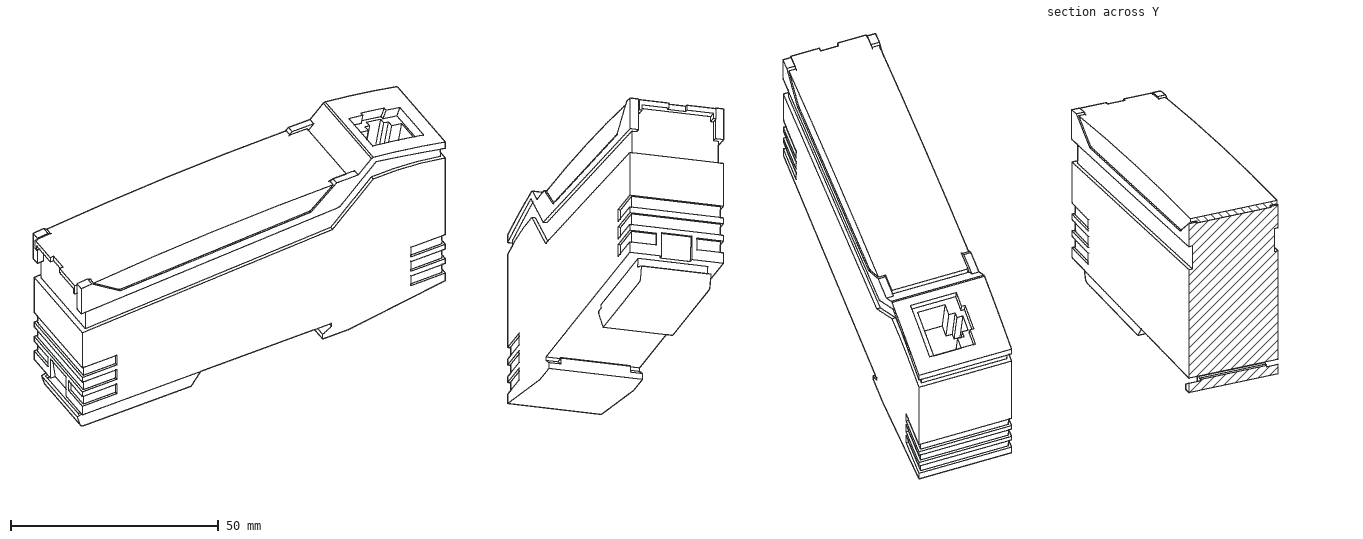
import cadquery as cq
import math


width = 23.6
half_width = width / 2
back_y = 100.4
top_z = 47.8
cover_tip_y = -0.9
foot_bottom_z = -6.6

crest_y = 80.5
case_back_z = 39.2
case_arc_y = 90.7
case_arc_z = 40.7
case_crest_z = 41.0
case_ramp_drop = 11.3
case_front_z = 26.0

taper_start_z = 0.3
hook_flat_y = 73.8
hook_bottom_z = -4.0
hook_tip_y = 66.5
hook_root_y = 68.9
hook_root_z = -0.9
hook_slope_z = -2.4
tooth_top_z = -0.6
tooth_back_y = 67.4
tooth_chamfer = 0.3

neck_side_inset = 0.9
neck_front_y = 1.3
neck_back_y = 99.5
neck_floor_z = 20.3
neck_overlap = 1.0

hood_front_y = -0.3
hood_lower_back_z = 42.3
hood_lower_arc_z = 44.3
hood_lower_crest_y = 81.3
hood_lower_crest_z = 46.1
hood_ramp_drop = 10.1
hood_lower_front_z = 32.1
deck_back_z = 44.3
deck_arc_z = 46.3
crest_chamfer_y = 0.5
crest_chamfer_z = 0.2
tab_top_z = 44.0
tab_front_y = 70.3
tab_width = 1.8
post_width = 2.1
post_back_y = 2.6
post_top_z = 40.4
post_front_z = 40.1

seat_rear_y = 63.2
seat_rear_z = 37.7
seat_front_y = 10.4
seat_front_z = 35.0
cover_gap = 0.15
cover_side_inset = 0.3
cover_rear_y = 74.3
cover_rear_z = 43.5
cover_arc_y = 36.7
cover_arc_z = 42.7
cover_tip_z = 39.7
lip_thickness = 1.3
lip_leg_width = 0.7
lip_leg_height = 2.6
lip_notch_width = 4.6
lip_notch_depth = 0.9

groove_depth = 0.6
groove_length = 9.5
groove_height = 3.0
groove_pitch = 4.6
groove_bottom_z = 2.7
groove_count = 3
groove_land_width = 10.1

foot_width = 17.5
foot_neck_back_y = 33.5
foot_hook_y = 35.8
foot_hook_z = -0.9
foot_hook_nose = 0.3
foot_rear_y = 31.8
foot_lip_y = 0.3
foot_lip_z = -3.0
foot_lip_root_z = -2.0
foot_neck_y = 3.5
foot_neck_top_y = 3.0
foot_toe_y = 1.3
foot_edge_radius = 1.0
tray_rim = 0.7
tray_depth = 0.9
latch_slot_width = 7.6
latch_slot_top_z = 6.1
latch_slot_top_y = 0.5
latch_slot_low_y = 1.3

jack_y = 89.6
socket_offset = 0.2
pocket_left_x = -3.9
pocket_right_x = 7.8
pocket_length = 14.3
pocket_depth = 2.2
pocket_lean = 0.4
relief_width = 0.9
relief_length = 6.5
socket_depth = 12.2
socket_right_x = 6.3
deck_clearance = 1.0
socket_steps = [(-0.7, 12.2), (-2.3, 6.6), (-3.9, 4.0)]


def across(profile, span):
    """Extrude a closed YZ profile to a width centred on the middle plane."""
    return profile.extrude(span / 2, both=True)


def block(x0, x1, y0, y1, z0, z1):
    """Axis-aligned block given by its limits."""
    return cq.Workplane("XY").box(x1 - x0, y1 - y0, z1 - z0, centered=False).translate((x0, y0, z0))


def both_sides(shape):
    """The shape together with its mirror image across the middle plane."""
    return shape.union(shape.mirror("YZ"))


def ramp_z(y):
    """Height of the hood's 45 degree ramp."""
    return top_z - crest_chamfer_z - (crest_y - crest_chamfer_y - y)


post_inner_x = half_width - post_width
rear_shelf_z = ramp_z(cover_rear_y)
front_shelf_z = cover_tip_z - lip_thickness


def lower_case():
    profile = (
        cq.Workplane("YZ")
        .moveTo(0, 0)
        .lineTo(0, case_front_z)
        .lineTo(crest_y - case_ramp_drop, case_crest_z - case_ramp_drop)
        .lineTo(crest_y, case_crest_z)
        .threePointArc((case_arc_y, case_arc_z), (back_y, case_back_z))
        .lineTo(back_y, taper_start_z)
        .lineTo(hook_flat_y, hook_bottom_z)
        .lineTo(hook_tip_y, hook_bottom_z)
        .lineTo(hook_tip_y, hook_slope_z)
        .lineTo(hook_root_y, hook_root_z)
        .lineTo(hook_root_y, 0)
        .close()
    )
    return across(profile, width)


def hook_tooth():
    """Raised tooth in the middle of the rail hook."""
    profile = (
        cq.Workplane("YZ")
        .moveTo(hook_tip_y, hook_bottom_z)
        .lineTo(hook_tip_y, tooth_top_z - tooth_chamfer)
        .lineTo(hook_tip_y + tooth_chamfer, tooth_top_z)
        .lineTo(tooth_back_y, tooth_top_z)
        .lineTo(tooth_back_y + tooth_chamfer, hook_root_z)
        .lineTo(hook_root_y, hook_root_z)
        .lineTo(hook_root_y, hook_bottom_z)
        .close()
    )
    return across(profile, foot_width)


def neck():
    """Recessed band that joins the case to the hood."""
    top_crest_z = hood_lower_crest_z + neck_overlap
    profile = cq.Workplane("YZ").polyline([
        (neck_front_y, neck_floor_z),
        (neck_front_y, hood_lower_front_z + neck_overlap),
        (hood_lower_crest_y - hood_ramp_drop, top_crest_z - hood_ramp_drop),
        (hood_lower_crest_y, top_crest_z),
        (neck_back_y, hood_lower_back_z + neck_overlap),
        (neck_back_y, neck_floor_z),
    ]).close()
    return across(profile, width - 2 * neck_side_inset)


def hood():
    """Hood with its side tabs and corner posts, before the cover seat is cut."""
    tab_rear_y = cover_rear_y + tab_top_z - rear_shelf_z
    profile = (
        cq.Workplane("YZ")
        .moveTo(hood_front_y, hood_lower_front_z)
        .lineTo(hood_front_y, post_front_z)
        .lineTo(post_back_y, post_top_z)
        .lineTo(tab_front_y, tab_top_z)
        .lineTo(tab_rear_y, tab_top_z)
        .lineTo(crest_y - crest_chamfer_y, top_z - crest_chamfer_z)
        .lineTo(crest_y, top_z)
        .threePointArc(((crest_y + back_y) / 2, deck_arc_z), (back_y, deck_back_z))
        .lineTo(back_y, hood_lower_back_z)
        .threePointArc(
            ((hood_lower_crest_y + back_y) / 2, hood_lower_arc_z),
            (hood_lower_crest_y, hood_lower_crest_z),
        )
        .lineTo(hood_lower_crest_y - hood_ramp_drop, hood_lower_crest_z - hood_ramp_drop)
        .close()
    )
    return across(profile, width)


def seat_profile():
    """Trapezoid between the tabs and the corner posts, open upwards."""
    return cq.Workplane("YZ").polyline([
        (tab_front_y, tab_top_z),
        (seat_rear_y, seat_rear_z),
        (seat_front_y, seat_front_z),
        (post_back_y, post_top_z),
        (post_back_y, top_z),
        (tab_front_y, top_z),
    ]).close()


def cover_seat():
    """Space for the cover: a full-width trapezoid, plus shelves between the tabs and posts."""
    trapezoid = across(seat_profile(), width)
    rear_shelf = across(
        cq.Workplane("YZ").polyline([
            (seat_rear_y, rear_shelf_z),
            (cover_rear_y, rear_shelf_z),
            (cover_rear_y + top_z - rear_shelf_z, top_z),
            (seat_rear_y, top_z),
        ]).close(),
        width - 2 * tab_width,
    )
    front_shelf = block(-post_inner_x, post_inner_x, hood_front_y, seat_front_y, front_shelf_z, top_z)
    front_opening = block(-post_inner_x, post_inner_x, hood_front_y, neck_front_y, case_front_z, top_z)
    return trapezoid.union(rear_shelf).union(front_shelf).union(front_opening)


def grip_grooves():
    """Grooves that wrap around both ends of the case."""
    cuts = cq.Workplane("XY")
    for index in range(groove_count):
        z0 = groove_bottom_z + index * groove_pitch
        z1 = z0 + groove_height
        for y0, y1 in [(0, groove_length), (back_y - groove_length, back_y)]:
            side = block(half_width - groove_depth, half_width, y0, y1, z0, z1)
            cuts = cuts.union(both_sides(side))
        cuts = cuts.union(block(-half_width, half_width, back_y - groove_depth, back_y, z0, z1))
        land = groove_land_width / 2 if index == 0 else 0
        cuts = cuts.union(both_sides(block(land, half_width, 0, groove_depth, z0, z1)))
    return cuts


def latch_foot():
    """Foot that grips the rail, with a finger tray on its front lip."""
    profile = (
        cq.Workplane("YZ")
        .moveTo(foot_neck_back_y, 0)
        .lineTo(foot_neck_back_y, foot_hook_z)
        .lineTo(foot_hook_y, foot_hook_z)
        .lineTo(foot_hook_y, foot_hook_z - foot_hook_nose)
        .lineTo(foot_rear_y, foot_bottom_z)
        .lineTo(foot_toe_y, foot_bottom_z)
        .lineTo(foot_lip_y, foot_lip_z)
        .lineTo(foot_neck_y, foot_lip_root_z)
        .lineTo(foot_neck_top_y, 0)
        .close()
    )
    foot = across(profile, foot_width)
    toe_edge = cq.selectors.NearestToPointSelector((0, foot_toe_y, foot_bottom_z))
    foot = foot.edges(toe_edge).fillet(foot_edge_radius)
    neck_lean = (foot_neck_y - foot_neck_top_y) / -foot_lip_root_z
    tray = across(
        cq.Workplane("YZ").polyline([
            (foot_lip_y + tray_rim, foot_lip_z - tray_depth),
            (foot_neck_y + neck_lean * tray_depth, foot_lip_root_z - tray_depth),
            (foot_neck_y, foot_lip_root_z),
            (foot_lip_y + tray_rim, foot_lip_root_z),
        ]).close(),
        foot_width - 2 * tray_rim,
    )
    return foot.cut(tray)


def latch_slot():
    """Shallow slot in the case front with a leaning back wall."""
    profile = cq.Workplane("YZ").polyline([
        (0, 0),
        (latch_slot_low_y, 0),
        (latch_slot_top_y, latch_slot_top_z),
        (0, latch_slot_top_z),
    ]).close()
    return across(profile, latch_slot_width)


def network_socket():
    """Pocket and stepped plug opening, both square to the rear deck."""
    deck_slope = (top_z - deck_back_z) / (back_y - crest_y)
    tilt = math.atan(deck_slope)
    deck_z = top_z - deck_slope * (jack_y - crest_y)
    plane = cq.Plane((0, jack_y, deck_z), xDir=(1, 0, 0), normal=(0, math.sin(tilt), math.cos(tilt)))

    def sunk_recess(x0, x1, length, middle, depth, lean=0.0):
        """Recess cut from just above the deck; its rear wall leans in by 'lean' at the floor."""
        front = middle - length / 2
        rear = middle + length / 2
        profile = cq.Workplane("YZ", origin=(x0, 0, 0)).polyline([
            (front, deck_clearance),
            (front, -depth),
            (rear - lean, -depth),
            (rear + lean * deck_clearance / depth, deck_clearance),
        ]).close()
        recess = profile.extrude(x1 - x0)
        return cq.Workplane(recess.val().moved(cq.Location(plane)))

    relief_left_x = pocket_left_x - relief_width
    cut = sunk_recess(pocket_left_x, pocket_right_x, pocket_length, 0, pocket_depth, pocket_lean)
    relief = sunk_recess(relief_left_x, socket_right_x, relief_length, 0, pocket_depth, pocket_lean)
    cut = cut.union(relief)
    for left_x, length in socket_steps:
        opening = sunk_recess(left_x, socket_right_x, length, socket_offset, pocket_depth + socket_depth)
        cut = cut.union(opening)
    return cut


def make_housing():
    body = lower_case().union(hook_tooth()).cut(grip_grooves()).cut(latch_slot())
    upper = hood().union(neck()).cut(cover_seat())
    return body.union(upper).union(latch_foot()).cut(network_socket())


def make_cover():
    profile = (
        cq.Workplane("YZ")
        .moveTo(cover_tip_y, cover_tip_z)
        .threePointArc((cover_arc_y, cover_arc_z), (cover_rear_y, cover_rear_z))
        .lineTo(cover_rear_y, 0)
        .lineTo(cover_tip_y, 0)
        .close()
    )
    under_skin = across(profile, width)
    skirt = across(seat_profile().offset2D(-cover_gap), width - 2 * cover_side_inset)
    rear = block(-post_inner_x, post_inner_x, seat_rear_y, cover_rear_y, rear_shelf_z, top_z)
    front = block(-post_inner_x, post_inner_x, cover_tip_y, seat_front_y, front_shelf_z, top_z)
    legs = both_sides(block(
        post_inner_x - lip_leg_width, post_inner_x,
        cover_tip_y, neck_front_y, cover_tip_z - lip_leg_height, top_z,
    ))
    notch = block(
        -lip_notch_width / 2, lip_notch_width / 2,
        cover_tip_y, cover_tip_y + lip_notch_depth, front_shelf_z, top_z,
    )
    return skirt.union(rear).union(front).union(legs).intersect(under_skin).cut(notch)


housing = make_housing()
cover = make_cover()

result = cq.Compound.makeCompound([housing.val(), cover.val()])